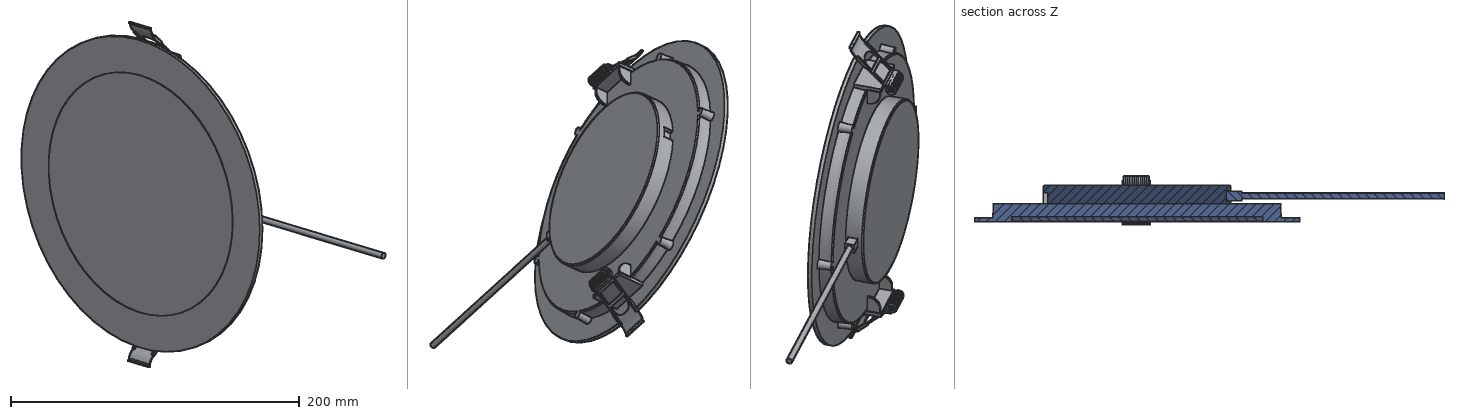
import cadquery as cq
import math


flange_diameter = 225.0
flange_thickness = 3.0
drum_back = 12.7
drum_radius = 95.2
drum_taper_start = 8.8
drum_taper = 0.5
drum_back_chamfer = 1.0
boss_count = 6
boss_radius = 3.0
boss_center_radius = 96.5

bracket_width = 30.5
bracket_outer = 97.2
bracket_thickness = 3.0
bracket_back = 22.8
bracket_turns = (0, 180)
ear_thickness = 1.5
ear_inset = 0.5
ear_depth = 11.7
ear_corner_radius = 8.5
ear_back = 21.8

diffuser_diameter = 173.5
diffuser_thickness = 3.0
diffuser_setback = 0.3

driver_radius = 65.0
driver_back = 25.5
driver_chamfer = 1.0
window_width = 8.8
window_height = 7.5
window_depth = 3.2

cable_diameter = 4.2
cable_y = 18.0
overall_length = 325
cable_end = overall_length - flange_diameter / 2
relief_size = 6.8
relief_end = 72.5
relief_start = 61.8

clip_offset = 0.5
coil_y = 28.0
coil_z = 93.3
coil_radius = 4.0
wire_diameter = 1.5
turn_count = 12
turn_pitch = 1.45
sheet = 0.8
arm_width = 19.5
arm_start_y = 24.0
arm_start_z = coil_z + coil_radius - sheet / 2
arm_end_y = 2.3
arm_end_z = 117.5
tip_y = -0.5
tip_z = 122.2
lip_y = -1.55
clip_top = 124.0
window_side = 2.0
window_corner_radius = 6.2
window_cut_height = 3.2
arm_window_start = 2.0
arm_window_end = 23.7
bar_start = 12.0
bar_width = 2.3
hem_start = 19.0
hem_length = 9.8
hem_width = 1.3
hem_height = 2.3


def disc(radius, y_front, y_back):
    """Round plate about the Y axis."""
    return cq.Workplane("XZ", origin=(0, y_front, 0)).circle(radius).extrude(y_front - y_back)


def box_between(x0, x1, y0, y1, z0, z1):
    """Box given by its two corners."""
    return cq.Workplane("XY").box(x1 - x0, y1 - y0, z1 - z0, centered=False).translate((x0, y0, z0))


def turned_post(radius, chamfer):
    """Post along Y, from the flange to the drum's back, that widens toward the flange."""
    profile = [
        (0, flange_thickness),
        (radius + drum_taper, flange_thickness),
        (radius, drum_taper_start),
        (radius, drum_back),
        (0, drum_back),
    ]
    post = cq.Workplane("XY").polyline(profile).close().revolve(360, (0, 0), (0, 1))
    if chamfer > 0:
        post = post.faces(">Y").chamfer(chamfer)
    return post


def make_bracket():
    """Flat plate on the +Z side with two rounded ears that reach in behind the drum."""
    half = bracket_width / 2
    plate_inner = bracket_outer - bracket_thickness
    bracket = box_between(-half, half, flange_thickness, bracket_back, plate_inner, bracket_outer)
    bracket = bracket.union(
        box_between(-half, half, flange_thickness, drum_back, plate_inner - ear_depth, bracket_outer)
    )
    for x in (-half + ear_inset, half - ear_inset - ear_thickness):
        ear = box_between(x, x + ear_thickness, drum_back, ear_back, plate_inner - ear_depth, plate_inner)
        ear = ear.edges("|X and >Y and <Z").fillet(ear_corner_radius)
        bracket = bracket.union(ear)
    return bracket


def make_housing():
    housing = disc(flange_diameter / 2, 0, flange_thickness)
    housing = housing.union(turned_post(drum_radius, drum_back_chamfer))
    for i in range(boss_count):
        angle = math.radians(i * 360 / boss_count)
        place = (boss_center_radius * math.cos(angle), 0, boss_center_radius * math.sin(angle))
        housing = housing.union(turned_post(boss_radius, 0).translate(place))
    for turn in bracket_turns:
        housing = housing.union(make_bracket().rotate((0, 0, 0), (0, 1, 0), turn))
    seat = disc(diffuser_diameter / 2, 0, diffuser_setback + diffuser_thickness)
    return housing.cut(seat)


def make_diffuser():
    return disc(diffuser_diameter / 2, diffuser_setback, diffuser_setback + diffuser_thickness)


def make_relief():
    """Square block around the cable where it leaves the driver box."""
    half = relief_size / 2
    return box_between(relief_start, relief_end, cable_y - half, cable_y + half, -half, half)


def make_driver():
    driver = disc(driver_radius, drum_back, driver_back).faces(">Y").chamfer(driver_chamfer)
    window = box_between(
        -driver_radius, -driver_radius + window_depth,
        drum_back, drum_back + window_height,
        -window_width / 2, window_width / 2,
    )
    return driver.cut(window).cut(make_relief())


def make_cable():
    wire = (
        cq.Workplane("YZ", origin=(relief_end, cable_y, 0))
        .circle(cable_diameter / 2)
        .extrude(cable_end - relief_end)
    )
    return make_relief().union(wire)


def along_arm(shape):
    """Move a shape built along +X of a flat arm onto the sloping arm line."""
    slope = math.degrees(math.atan2(arm_end_z - arm_start_z, arm_start_y - arm_end_y))
    return (
        shape.rotate((0, 0, 0), (0, 0, 1), -90)
        .rotate((0, 0, 0), (1, 0, 0), -slope)
        .translate((0, arm_start_y, arm_start_z))
    )


def make_clip():
    """Spring clip on the +Z side."""
    ring_radius = coil_radius - wire_diameter / 2
    coil = None
    for i in range(turn_count):
        x = (i - (turn_count - 1) / 2) * turn_pitch
        center = cq.Vector(x, coil_y, coil_z)
        ring = cq.Workplane(cq.Solid.makeTorus(ring_radius, wire_diameter / 2, center, cq.Vector(1, 0, 0)))
        coil = ring if coil is None else coil.union(ring)

    lip_z = clip_top - sheet / 2
    arm = (
        cq.Workplane("YZ", origin=(-arm_width / 2, 0, 0))
        .moveTo(coil_y, arm_start_z)
        .lineTo(arm_start_y, arm_start_z)
        .lineTo(arm_end_y, arm_end_z)
        .tangentArcPoint((tip_y, tip_z), relative=False)
        .lineTo(tip_y, lip_z)
        .lineTo(lip_y, lip_z)
        .wire()
        .offset2D(sheet / 2)
        .extrude(arm_width)
    )

    window_half = arm_width / 2 - window_side
    cut_half = window_cut_height / 2
    window = box_between(arm_window_start, arm_window_end, -window_half, window_half, -cut_half, cut_half)
    window = window.edges("|Z and >X").fillet(window_corner_radius)
    bar = box_between(bar_start, bar_start + bar_width, -window_half, window_half, -cut_half, cut_half)
    arm = arm.cut(along_arm(window.cut(bar)))

    for y in (-arm_width / 2, arm_width / 2 - hem_width):
        hem = box_between(hem_start, hem_start + hem_length, y, y + hem_width, -hem_height / 2, hem_height / 2)
        arm = arm.union(along_arm(hem))
    return coil.union(arm).translate((clip_offset, 0, 0))


housing = make_housing()
diffuser = make_diffuser()
driver = make_driver()
cable = make_cable()
clips = [make_clip().rotate((0, 0, 0), (0, 1, 0), turn) for turn in bracket_turns]

bodies = [housing, diffuser, driver, cable, *clips]
result = cq.Compound.makeCompound([body.solids().val() for body in bodies])